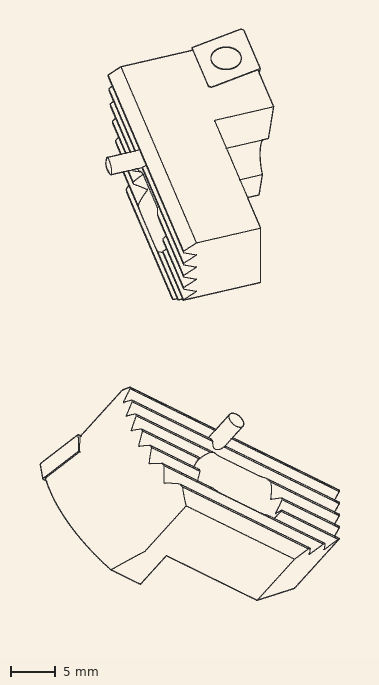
import cadquery as cq
import math

overall_length = 29.6

tooth_count = 7
tooth_pitch = 2.0
tooth_depth = 1.5
tooth_tip_flat = 0.27

holder_height = tooth_count * tooth_pitch
holder_left = 1.35
head_right = 12.35
head_back = 16.0
shank_back = 9.05
back_relief_angle = 7.0
corner_chamfer = 5.03

flank_radius = 15.7
flank_flare_start = 9.83
flank_flare_angle = 10.0
flank_center_x = holder_left + flank_radius

slot_length = 11.4
slot_width = 6.35
slot_center_x = 16.28
slot_center_z = 6.1

insert_top = 14.1
insert_thickness = 2.37
insert_width = 6.35
insert_back = 16.3
insert_acute_angle = 80.0
insert_relief_angle = 7.0
insert_nose_radius = 0.38
insert_recess_diameter = 3.4

pin_diameter = 2.0
pin_x = 13.3
pin_z = 11.55
pin_tip_y = -3.95
pin_dome_height = 0.3
pin_inner_end_y = 4.45


def make_plan_block():
    """L-shaped plan, as tall as the holder, with a plain front face."""
    outline = [
        (0, 0),
        (overall_length, 0),
        (overall_length, shank_back),
        (head_right, shank_back),
        (head_right, head_back),
        (0, head_back),
    ]
    return cq.Workplane("XY").polyline(outline).close().extrude(holder_height)


def make_side_envelope():
    """Serrated front and relieved back, as one section along X."""
    half_flat = tooth_tip_flat / 2
    back_shift = holder_height * math.tan(math.radians(back_relief_angle))
    outline = [(head_back - back_shift, 0), (tooth_depth, 0)]
    for tooth in range(tooth_count):
        tip_z = (tooth + 0.5) * tooth_pitch
        outline.append((0, tip_z - half_flat))
        outline.append((0, tip_z + half_flat))
        outline.append((tooth_depth, (tooth + 1) * tooth_pitch))
    outline.append((head_back, holder_height))
    return cq.Workplane("YZ").polyline(outline).close().extrude(overall_length)


def make_flank_envelope():
    """Turned left flank about a Y axis in the top face, joined to a plain block on its right."""
    flare = (head_back - flank_flare_start) * math.tan(math.radians(flank_flare_angle))
    turned = (
        cq.Workplane("XY")
        .polyline([
            (0, 0),
            (-flank_radius, 0),
            (-flank_radius, flank_flare_start),
            (-flank_radius - flare, head_back),
            (0, head_back),
        ])
        .close()
        .revolve(360, (0, 0, 0), (0, 1, 0))
        .translate((flank_center_x, 0, holder_height))
    )
    plain = cq.Workplane("XY").box(
        overall_length - flank_center_x, head_back, holder_height, centered=False
    ).translate((flank_center_x, 0, 0))
    return turned.union(plain)


def make_corner_cut():
    """Wedge below the right end of the holder."""
    corner = [
        (overall_length, 0),
        (overall_length, corner_chamfer),
        (overall_length - corner_chamfer, 0),
    ]
    return cq.Workplane("XZ").polyline(corner).close().extrude(-head_back)


def make_slot_cut():
    return (
        cq.Workplane("XZ")
        .center(slot_center_x, slot_center_z)
        .slot2D(slot_length, slot_width)
        .extrude(-head_back)
    )


def make_insert_blank():
    """Insert without its recess; the same shape is the pocket in the holder."""
    acute = math.radians(insert_acute_angle)
    side = insert_width / math.sin(acute)
    slant = insert_width / math.tan(acute)
    corner_x = insert_nose_radius * (1 - 1 / math.tan(acute / 2))
    front = insert_back - insert_width
    rhombus = [
        (corner_x, insert_back),
        (corner_x + side, insert_back),
        (corner_x + side + slant, front),
        (corner_x + slant, front),
    ]
    center_x = corner_x + (side + slant) / 2
    center_y = insert_back - insert_width / 2

    plate = cq.Workplane("XY").polyline(rhombus).close().extrude(0.3)
    plate = plate.edges(cq.selectors.NearestToPointSelector((*rhombus[0], 0.15))).fillet(insert_nose_radius)
    plate = plate.edges(cq.selectors.NearestToPointSelector((*rhombus[2], 0.15))).fillet(insert_nose_radius)
    outline = plate.faces("<Z").wires().val()
    blank = (
        cq.Workplane("XY")
        .add(outline)
        .toPending()
        .extrude(-insert_thickness, taper=insert_relief_angle)
        .translate((0, 0, insert_top))
    )
    return blank, center_x, center_y


def make_insert(blank, center_x, center_y):
    """Insert with a shallow round recess, down to the level of the holder's top face."""
    recess = (
        cq.Workplane("XY", origin=(center_x, center_y, holder_height))
        .circle(insert_recess_diameter / 2)
        .extrude(insert_top - holder_height)
    )
    return blank.cut(recess)


def make_pin():
    """Pin along Y with a domed outer end."""
    radius = pin_diameter / 2
    dome_start_y = pin_tip_y + pin_dome_height
    dome_radius = (radius**2 + pin_dome_height**2) / (2 * pin_dome_height)
    mid_x = radius / 2
    mid_y = pin_tip_y + dome_radius - math.sqrt(dome_radius**2 - mid_x**2)
    return (
        cq.Workplane("XY")
        .moveTo(0, pin_inner_end_y)
        .lineTo(radius, pin_inner_end_y)
        .lineTo(radius, dome_start_y)
        .threePointArc((mid_x, mid_y), (0, pin_tip_y))
        .close()
        .revolve(360, (0, 0, 0), (0, 1, 0))
        .translate((pin_x, 0, pin_z))
    )


def make_holder(insert_blank, pin):
    holder = make_plan_block().intersect(make_side_envelope()).intersect(make_flank_envelope())
    holder = holder.cut(make_corner_cut()).cut(make_slot_cut())
    return holder.cut(insert_blank).cut(pin)


insert_blank, insert_center_x, insert_center_y = make_insert_blank()
insert = make_insert(insert_blank, insert_center_x, insert_center_y)
pin = make_pin()
holder = make_holder(insert_blank, pin)

result = cq.Compound.makeCompound([holder.solids().val(), insert.solids().val(), pin.val()])